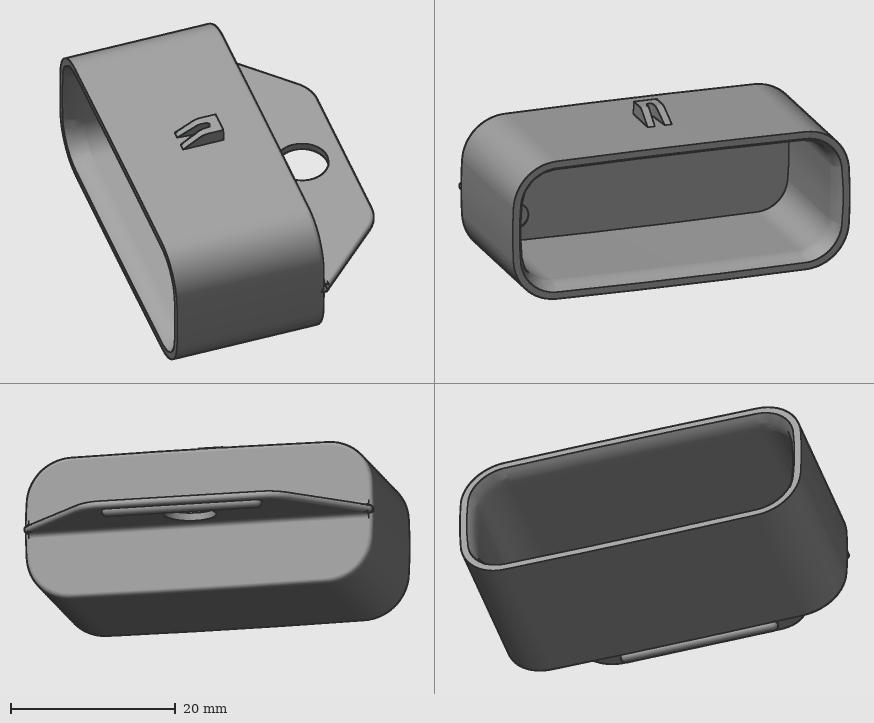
import cadquery as cq
import math

DIAGONAL = math.sqrt(0.5)

length = 43.45
height = 17.9
total_height = 19.45
depth = 19.0
half_length = length / 2
half_height = height / 2
side_bulge = 0.7
top_bulge = 0.17
corner_radius = 5.65
back_edge_radius = 0.5

wall = 1.65
back_wall = wall
rim_width = 0.85
flare_depth = 2.45
flare_inset = wall - rim_width
flare_radius = (flare_depth**2 + flare_inset**2) / (2 * flare_inset)

mark_radius = 1.5
mark_depth = 0.15
mark_x = -15.0
mark_z = -4.05

tab_thickness = 0.95
tab_end = 29.0
tab_corner_x = 11.95
tab_corner_radius = 4.6
tab_edge_radius = 0.455
tab_hole_radius = 3.2
tab_hole_y = 23.55
root_radius = 0.6
bead_radius = 0.65
bead_y = 27.7
bead_bottom = -1.25
bead_half_span = 10.0

latch_top = total_height - half_height
latch_back = 12.95
latch_front = 7.75
latch_knee = 10.43
latch_knee_radius = 1.82
latch_base_width = 3.15
latch_top_width = 2.9
slot_tip = 11.7
slot_radius = 0.4
slot_mouth_width = 1.4
latch_sink = 0.45


def shell_prism(inset, y_start, y_end):
    """Bowed rounded rectangle, shrunk by inset and extruded along Y."""
    x_mid = half_length - inset
    z_mid = half_height - inset
    x = x_mid - side_bulge
    z = z_mid - top_bulge
    return (
        cq.Workplane("XZ", origin=(0, y_start, 0))
        .moveTo(-x, z)
        .threePointArc((0, z_mid), (x, z))
        .threePointArc((x_mid, 0), (x, -z))
        .threePointArc((0, -z_mid), (-x, -z))
        .threePointArc((-x_mid, 0), (-x, z))
        .close()
        .extrude(y_start - y_end)
        .edges("|Y")
        .fillet(corner_radius - inset)
    )


def make_shell():
    """Closed-back shell whose cavity flares open at the mouth."""
    block_front = flare_depth - flare_radius
    margin = 2 * flare_radius
    block = cq.Workplane("XY", origin=(0, block_front, 0)).box(
        length + 2 * margin,
        depth - block_front,
        height + 2 * margin,
        centered=(True, False, True),
    )
    block = block.cut(shell_prism(wall, block_front, depth - back_wall))
    select_tolerance = 0.05
    mouth = cq.selectors.BoxSelector(
        (-half_length, block_front - select_tolerance, -half_height),
        (half_length, block_front + select_tolerance, half_height),
    )
    block = block.edges(mouth).fillet(flare_radius)
    outside = shell_prism(0, 0, depth).faces(">Y").edges().fillet(back_edge_radius)
    return outside.intersect(block)


def make_floor_mark():
    """Shallow round recess in the cavity floor."""
    floor_y = depth - back_wall
    return (
        cq.Workplane("XZ", origin=(mark_x, floor_y, mark_z))
        .circle(mark_radius)
        .extrude(-mark_depth)
    )


def make_tab():
    """Round-edged tab with 45 degree sides, a finger hole and a grip bead."""
    side_y = tab_end - (half_length - tab_corner_x)
    inner_y = depth - back_edge_radius
    plate = (
        cq.Workplane("XY", origin=(0, 0, -tab_thickness / 2))
        .polyline([
            (-half_length, inner_y),
            (-half_length, side_y),
            (-tab_corner_x, tab_end),
            (tab_corner_x, tab_end),
            (half_length, side_y),
            (half_length, inner_y),
        ])
        .close()
        .extrude(tab_thickness)
    )
    plate = plate.edges("|Z and >Y").fillet(tab_corner_radius)
    plate = plate.faces("<Z or >Z").edges("not <Y").fillet(tab_edge_radius)
    hole = (
        cq.Workplane("XY", origin=(0, tab_hole_y, -tab_thickness))
        .circle(tab_hole_radius)
        .extrude(2 * tab_thickness)
    )
    return plate.cut(hole).union(make_bead()).union(make_root())


def make_bead():
    """Round bar with domed ends, partly sunk into the underside of the tab."""
    straight = bead_half_span - bead_radius
    return (
        cq.Workplane("XY", origin=(-straight, bead_y, bead_bottom + bead_radius))
        .lineTo(-bead_radius, 0)
        .threePointArc(
            (-bead_radius * DIAGONAL, bead_radius * DIAGONAL),
            (0, bead_radius),
        )
        .lineTo(2 * straight, bead_radius)
        .threePointArc(
            (2 * straight + bead_radius * DIAGONAL, bead_radius * DIAGONAL),
            (2 * straight + bead_radius, 0),
        )
        .close()
        .revolve(360, (0, 0), (1, 0))
    )


def make_root():
    """Concave fillets where the tab meets the back face."""
    half_span = half_length - back_edge_radius
    half_tab = tab_thickness / 2
    outer_z = half_tab + root_radius
    root_end = depth + root_radius
    arc_offset = root_radius * (1 - DIAGONAL)
    return (
        cq.Workplane("YZ")
        .moveTo(depth - back_edge_radius, -outer_z)
        .lineTo(depth, -outer_z)
        .threePointArc((depth + arc_offset, -half_tab - arc_offset), (root_end, -half_tab))
        .lineTo(root_end, half_tab)
        .threePointArc((depth + arc_offset, half_tab + arc_offset), (depth, outer_z))
        .lineTo(depth - back_edge_radius, outer_z)
        .close()
        .extrude(half_span, both=True)
    )


def make_latch():
    """Forked ramp on the top, with drafted sides and a slot that widens toward the mouth."""
    base_z = half_height - latch_sink
    ramp_slope = (latch_top - half_height) / (latch_knee - latch_front)
    ramp_start = latch_front - latch_sink / ramp_slope
    profile = (
        cq.Workplane("YZ")
        .polyline([
            (ramp_start, base_z),
            (latch_knee, latch_top),
            (latch_back, latch_top),
            (latch_back, base_z),
        ])
        .close()
        .extrude(latch_base_width, both=True)
    )
    knee = cq.selectors.NearestToPointSelector((0, latch_knee, latch_top))
    profile = profile.edges("|X").edges(knee).fillet(latch_knee_radius)
    drafted = (
        cq.Workplane("XZ", origin=(0, ramp_start, 0))
        .polyline([
            (-latch_base_width / 2, base_z),
            (latch_base_width / 2, base_z),
            (latch_top_width / 2, latch_top),
            (-latch_top_width / 2, latch_top),
        ])
        .close()
        .extrude(ramp_start - latch_back)
    )
    slot_half = slot_mouth_width / 2
    slot = (
        cq.Workplane("XY", origin=(0, 0, base_z))
        .moveTo(-slot_half, ramp_start)
        .lineTo(-slot_radius, slot_tip - slot_radius)
        .threePointArc((0, slot_tip), (slot_radius, slot_tip - slot_radius))
        .lineTo(slot_half, ramp_start)
        .close()
        .extrude(latch_top - base_z)
    )
    return profile.intersect(drafted).cut(slot)


result = make_shell().cut(make_floor_mark()).union(make_tab()).union(make_latch())